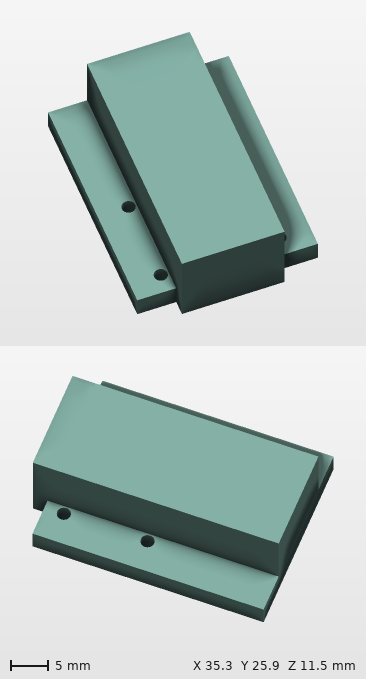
import cadquery as cq

block_length = 35.3
block_width = 14.72
block_height = 11.5

plate_length = 33.18
plate_width = 25.9
plate_thickness = 3.18

hole_diameter = 1.9
hole_spacing_x = 12.0
hole_spacing_y = 17.0
last_hole_edge_distance = 2.8
hole_pattern_x = plate_length - last_hole_edge_distance - hole_spacing_x / 2


def box_from_end(length, width, height):
    """Box starting at X = 0, centred on Y and resting on Z = 0."""
    return cq.Workplane("XY").box(length, width, height, centered=(False, True, False))


block = box_from_end(block_length, block_width, block_height)
plate = box_from_end(plate_length, plate_width, plate_thickness)

flange_holes = (
    cq.Workplane("XY")
    .center(hole_pattern_x, 0)
    .rect(hole_spacing_x, hole_spacing_y, forConstruction=True)
    .vertices()
    .circle(hole_diameter / 2)
    .extrude(plate_thickness)
)

result = block.union(plate).cut(flange_holes)